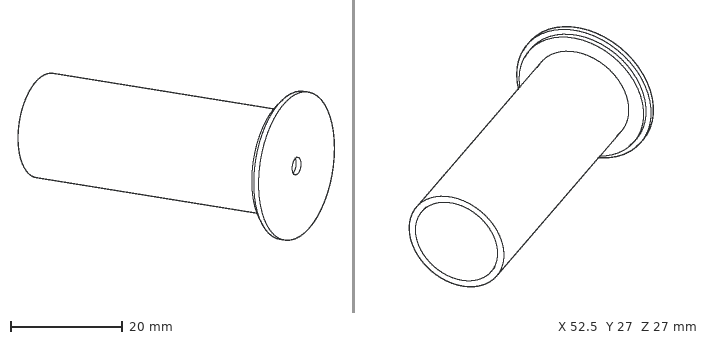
import cadquery as cq
import math

total_length = 52.5

tube_diameter = 19.05
bore_diameter = 16.5

shoulder_diameter = 25.0
shoulder_thickness = 1.0
rim_diameter = 27.0
rim_thickness = 1.0

land_diameter = 15.0
land_length = 1.0
outlet_diameter = 3.17
outlet_length = rim_thickness
cone_half_angle = math.radians(45)

rim_start = total_length - rim_thickness
shoulder_start = rim_start - shoulder_thickness
outlet_start = total_length - outlet_length


def cone_length(large_diameter, small_diameter):
    """Axial length of a conical stretch between two diameters."""
    return (large_diameter - small_diameter) / 2 / math.tan(cone_half_angle)


funnel_start = outlet_start - cone_length(land_diameter, outlet_diameter)
land_start = funnel_start - land_length
bore_end = land_start - cone_length(bore_diameter, land_diameter)


def revolve_about_x(stations):
    """Revolve an outline of (x, diameter) corners about the X axis."""
    outline = [(x, diameter / 2) for x, diameter in stations]
    return cq.Workplane("XY").polyline(outline).close().revolve(360, (0, 0, 0), (1, 0, 0))


def make_body():
    """Solid tube and stepped flange."""
    return revolve_about_x([
        (0, 0),
        (0, tube_diameter),
        (shoulder_start, tube_diameter),
        (shoulder_start, shoulder_diameter),
        (rim_start, shoulder_diameter),
        (rim_start, rim_diameter),
        (total_length, rim_diameter),
        (total_length, 0),
    ])


def make_passage():
    """Bore, land, funnel and outlet hole, with the cones between them, as one cutting solid."""
    return revolve_about_x([
        (0, 0),
        (0, bore_diameter),
        (bore_end, bore_diameter),
        (land_start, land_diameter),
        (funnel_start, land_diameter),
        (outlet_start, outlet_diameter),
        (total_length, outlet_diameter),
        (total_length, 0),
    ])


result = make_body().cut(make_passage())